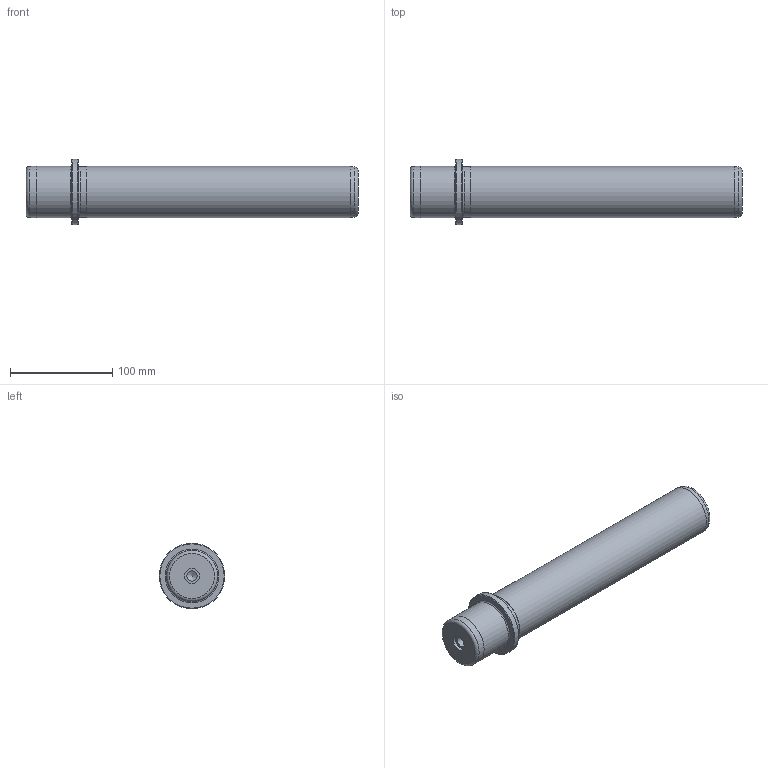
import cadquery as cq
import math

length = 325.0
ground_diameter = 50.0

shank_lead_fall = 0.02
pillar_lead_fall = 0.4
neck_relief = 0.25
shank_lead_length = 10.0
neck_end = 59.0
pillar_lead_length = 7.5

collar_diameter = 64.0
collar_start = 44.7
collar_width = 6.5
collar_chamfer = 0.5
shank_root_radius = 1.2
neck_root_radius = 1.7

shank_end_radius = 3.0
pillar_end_radius = 3.6

hole_diameter = 10.2
hole_depth = 25.0
drill_point_angle = 118.0
counterbore_diameter = 15.0
counterbore_depth = 3.0


def make_pin():
    """Stepped round bar with its collar, revolved from a half profile about X."""
    ground_radius = ground_diameter / 2
    neck_radius = ground_radius - neck_relief
    pillar_lead_radius = ground_radius - pillar_lead_fall
    shank_lead_radius = ground_radius - shank_lead_fall
    collar_radius = collar_diameter / 2
    collar_end = collar_start + collar_width
    pillar_lead_start = length - pillar_lead_length
    arc_inset = 1 - math.sqrt(0.5)
    shank_root_mid = shank_root_radius * arc_inset
    neck_root_mid = neck_root_radius * arc_inset

    profile = (
        cq.Workplane("XY")
        .lineTo(0, shank_lead_radius - shank_end_radius)
        .threePointArc(
            (shank_end_radius * arc_inset, shank_lead_radius - shank_end_radius * arc_inset),
            (shank_end_radius, shank_lead_radius),
        )
        .lineTo(shank_lead_length, ground_radius)
        .lineTo(collar_start - shank_root_radius, ground_radius)
        .threePointArc(
            (collar_start - shank_root_mid, ground_radius + shank_root_mid),
            (collar_start, ground_radius + shank_root_radius),
        )
        .lineTo(collar_start, collar_radius - collar_chamfer)
        .lineTo(collar_start + collar_chamfer, collar_radius)
        .lineTo(collar_end - collar_chamfer, collar_radius)
        .lineTo(collar_end, collar_radius - collar_chamfer)
        .lineTo(collar_end, neck_radius + neck_root_radius)
        .threePointArc(
            (collar_end + neck_root_mid, neck_radius + neck_root_mid),
            (collar_end + neck_root_radius, neck_radius),
        )
        .lineTo(neck_end, neck_radius)
        .lineTo(neck_end, ground_radius)
        .lineTo(pillar_lead_start, ground_radius)
        .lineTo(length - pillar_end_radius, pillar_lead_radius)
        .threePointArc(
            (length - pillar_end_radius * arc_inset, pillar_lead_radius - pillar_end_radius * arc_inset),
            (length, pillar_lead_radius - pillar_end_radius),
        )
        .lineTo(length, 0)
        .close()
    )
    return profile.revolve(360, (0, 0, 0), (1, 0, 0))


def make_centre_hole():
    """Blind drilled hole with a conical bottom and a shallow counterbore at its mouth."""
    hole_radius = hole_diameter / 2
    counterbore_radius = counterbore_diameter / 2
    point_length = hole_radius / math.tan(math.radians(drill_point_angle / 2))
    profile = (
        cq.Workplane("XY")
        .lineTo(0, counterbore_radius)
        .lineTo(counterbore_depth, counterbore_radius)
        .lineTo(counterbore_depth, hole_radius)
        .lineTo(hole_depth, hole_radius)
        .lineTo(hole_depth + point_length, 0)
        .close()
    )
    return profile.revolve(360, (0, 0, 0), (1, 0, 0))


result = make_pin().cut(make_centre_hole())